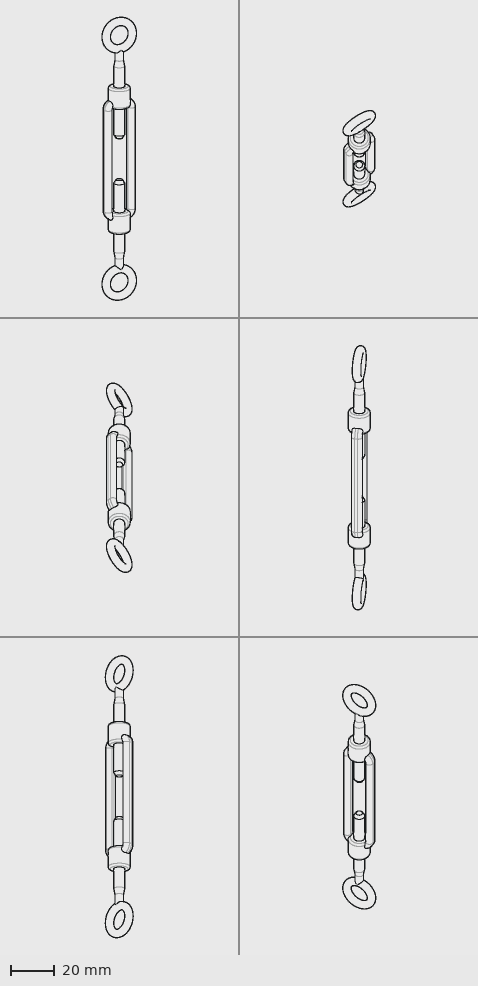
import cadquery as cq

total_length = 136.0

eye_outer_diameter = 17.0
eye_wire_diameter = 4.0
screw_diameter = 5.0
screw_inner_end = 10.0
screw_tip_chamfer = 1.6
screw_tip_diameter = 3.0
taper_start = 44.6
taper_end = 47.6

collar_diameter = 10.0
collar_inner_end = 25.2
collar_outer_end = 35.0
collar_edge_radius = 1.0
leg_span = 15.1
leg_width = 5.0
leg_thickness = 3.4
leg_flat = 1.2
bend_start = 24.5
bend_outer_radius = 4.5

eye_ring_radius = (eye_outer_diameter - eye_wire_diameter) / 2
eye_center_z = (total_length - eye_outer_diameter) / 2
leg_center_y = (leg_span - leg_thickness) / 2
bend_center_y = leg_span / 2 - bend_outer_radius


def make_eye_screw():
    """Upper eye screw: chamfered tip, shank, taper, neck and an eye ring in the YZ plane."""
    shank = (
        cq.Workplane("XZ")
        .moveTo(0, screw_inner_end)
        .lineTo(screw_tip_diameter / 2, screw_inner_end)
        .lineTo(screw_diameter / 2, screw_inner_end + screw_tip_chamfer)
        .lineTo(screw_diameter / 2, taper_start)
        .lineTo(eye_wire_diameter / 2, taper_end)
        .lineTo(eye_wire_diameter / 2, eye_center_z - eye_ring_radius)
        .lineTo(0, eye_center_z - eye_ring_radius)
        .close()
        .revolve(360, (0, 0, 0), (0, 1, 0))
    )
    ring = cq.Workplane(
        cq.Solid.makeTorus(
            eye_ring_radius, eye_wire_diameter / 2, cq.Vector(0, 0, eye_center_z), cq.Vector(1, 0, 0)
        )
    )
    return shank.union(ring)


def make_collar():
    """Upper collar, rounded at both rims."""
    return (
        cq.Workplane("XY")
        .workplane(offset=collar_inner_end)
        .circle(collar_diameter / 2)
        .extrude(collar_outer_end - collar_inner_end)
        .edges()
        .fillet(collar_edge_radius)
    )


def leg_profile(height):
    """Leg section at the given height: two flats joined by arcs that bulge to the full width."""
    half_flat = leg_flat / 2
    half_thickness = leg_thickness / 2
    half_width = leg_width / 2
    return (
        cq.Workplane("XY", origin=(0, leg_center_y, height))
        .moveTo(-half_flat, -half_thickness)
        .lineTo(half_flat, -half_thickness)
        .threePointArc((half_width, 0), (half_flat, half_thickness))
        .lineTo(-half_flat, half_thickness)
        .threePointArc((-half_width, 0), (-half_flat, -half_thickness))
        .close()
    )


def make_leg():
    """Straight leg on the +Y side with a quarter bend into the collar at each end."""
    pivot_y = bend_center_y - leg_center_y
    straight = leg_profile(-bend_start).extrude(2 * bend_start)
    upper_bend = leg_profile(bend_start).revolve(90, (0, pivot_y, 0), (1, pivot_y, 0))
    lower_bend = upper_bend.mirror("XY")
    return straight.union(upper_bend).union(lower_bend)


def make_body():
    """Two collars joined by two legs, bored through for the screws."""
    collar = make_collar()
    leg = make_leg()
    body = collar.union(collar.mirror("XY")).union(leg).union(leg.mirror("XZ"))
    bore = cq.Workplane("XY").circle(screw_diameter / 2).extrude(collar_outer_end, both=True)
    return body.cut(bore)


body = make_body()
eye_screws = []
for turn in (0, 180):
    eye_screws.append(make_eye_screw().rotate((0, 0, 0), (1, 0, 0), turn))

result = cq.Compound.makeCompound([body.val(), *[screw.val() for screw in eye_screws]])